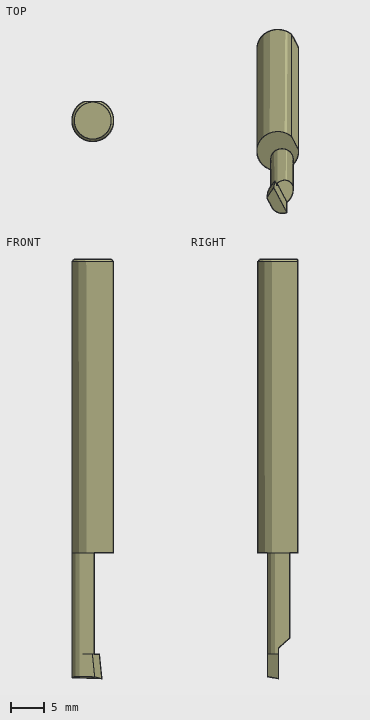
import cadquery as cq
import math

total_length = 63.5
shank_radius = 3.2
shank_flat_y = 2.9
shank_chamfer = 0.4
neck_length = 19.05
neck_radius = 1.7
neck_x = neck_radius - shank_radius

relief_start_z = 4.65
relief_angle = 42.0

head_height = 3.75
heel_x_top, heel_x_end = -0.05, 0.3
clearance_x_top, clearance_x_end = 0.4, 0.65
tip_x_top, tip_x_end = 1.0, 1.4
clearance_y = -1.2

end_rise_back = 0.16
end_rise_heel = 0.25


def make_shank():
    shank = (
        cq.Workplane("XY").workplane(offset=neck_length)
        .circle(shank_radius).extrude(total_length - neck_length)
        .faces(">Z").chamfer(shank_chamfer)
    )
    keep = cq.Workplane("XY").box(
        2 * shank_radius, shank_radius + shank_flat_y, total_length, centered=(True, False, False)
    ).translate((0, -shank_radius, 0))
    return shank.intersect(keep)


def make_neck():
    neck = cq.Workplane("XY").center(neck_x, 0).circle(neck_radius).extrude(neck_length)
    run = 2 * neck_radius
    relief = (
        cq.Workplane("YZ")
        .polyline([
            (0, -run),
            (0, relief_start_z),
            (run, relief_start_z + run * math.tan(math.radians(relief_angle))),
            (run, -run),
        ]).close()
        .extrude(shank_radius, both=True).translate((neck_x, 0, 0))
    )
    return neck.cut(relief)


def head_section(heel_x, clearance_x, tip_x):
    return [
        (neck_x, 0),
        (neck_x, -neck_radius),
        (heel_x, -neck_radius),
        (clearance_x, clearance_y),
        (tip_x, 0),
    ]


def make_head():
    return (
        cq.Workplane("XY")
        .polyline(head_section(heel_x_end, clearance_x_end, tip_x_end)).close()
        .workplane(offset=head_height)
        .polyline(head_section(heel_x_top, clearance_x_top, tip_x_top)).close()
        .loft(ruled=True)
    )


def make_end_cutter():
    slope_x = -end_rise_back / (tip_x_end + shank_radius)
    slope_y = -end_rise_heel / neck_radius
    end_plane = cq.Plane(
        origin=(tip_x_end, 0, 0), xDir=(1, 0, slope_x), normal=(-slope_x, -slope_y, 1)
    )
    size = 4 * shank_radius
    return cq.Workplane(end_plane).rect(size, size).extrude(-shank_radius)


result = make_shank().union(make_neck()).union(make_head()).cut(make_end_cutter())